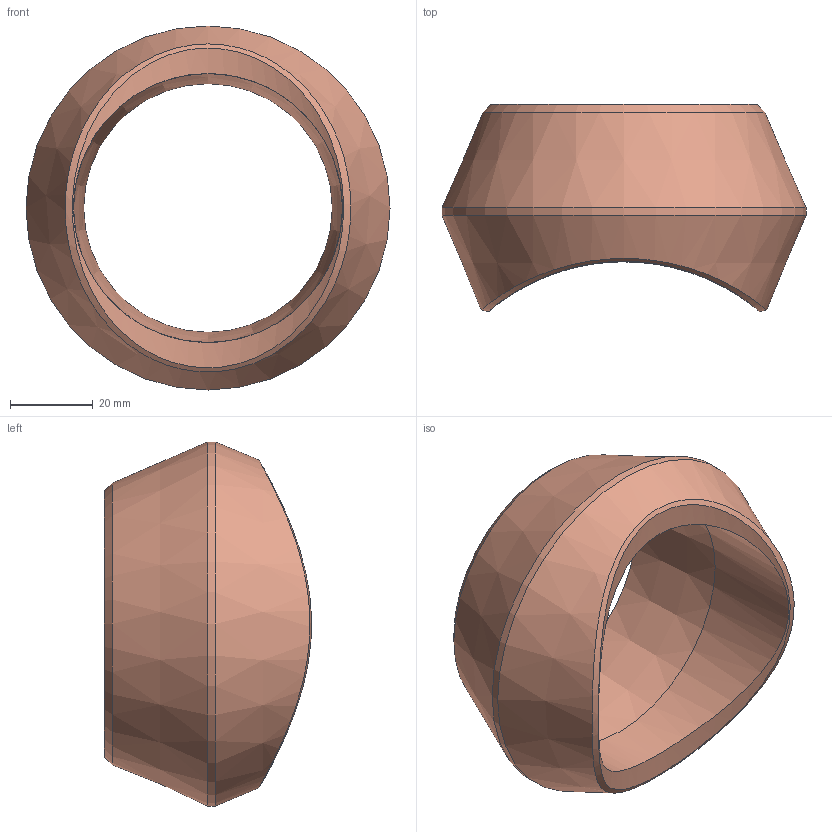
import cadquery as cq
import math

run_radius = 50.5
branch_end_to_crown = 38.0
body_radius = 44.055
band_width = 1.9
band_from_end = 24.95
shoulder_radius = 34.1
end_bevel = 1.9
saddle_cone_angle = 22.5
end_bore_radius = 30.1
saddle_bore_radius = 32.55
taper_bore_length = 24.7
rim_ball_radius = 1.1

end_y = run_radius + branch_end_to_crown
bevel_y = end_y - end_bevel
band_top_y = end_y - band_from_end
band_bottom_y = band_top_y - band_width
taper_bore_y = end_y - taper_bore_length
run_axis_y = 0.0

saddle_cone_height = band_bottom_y - run_axis_y
cone_radius_at_run_axis = body_radius - saddle_cone_height * math.tan(math.radians(saddle_cone_angle))


def revolve_about_branch_axis(profile):
    """Revolve a closed outline of (y, radius) points a full turn about the Y axis."""
    return cq.Workplane("YZ").polyline(profile).close().revolve(360, (0, 0), (1, 0))


def make_body():
    """Solid double cone with a straight band and a bevelled branch end."""
    return revolve_about_branch_axis([
        (end_y, 0),
        (end_y, shoulder_radius - end_bevel),
        (bevel_y, shoulder_radius),
        (band_top_y, body_radius),
        (band_bottom_y, body_radius),
        (run_axis_y, cone_radius_at_run_axis),
        (run_axis_y, 0),
    ])


def make_run_pipe():
    """Cylinder along Z that cuts the saddle, longer than the body is wide."""
    return cq.Workplane("XY").circle(run_radius).extrude(2 * body_radius, both=True)


def make_bore():
    """Conical bore that widens from the branch end to a straight bore at the saddle."""
    return revolve_about_branch_axis([
        (end_y, 0),
        (end_y, end_bore_radius),
        (taper_bore_y, saddle_bore_radius),
        (run_axis_y, saddle_bore_radius),
        (run_axis_y, 0),
    ])


def bevel_saddle_rim(body):
    """Bevel the edge where the saddle meets the outer cone.

    The bevel is the flat strip between the two curves along which a ball of
    rim_ball_radius, rolling inside the rim, would touch the saddle and the cone.
    """
    rounded = body.edges("<Y").fillet(rim_ball_radius)
    rounded_face = rounded.faces("%BSPLINE").val()
    saddle_face = rounded.faces("%CYLINDER").faces("<Y").val()

    cone_contact = max(rounded_face.Edges(), key=lambda edge: edge.Length())
    saddle_contact = saddle_face.Edges()[0]
    bevel_face = cq.Face.makeRuledSurface(cone_contact, saddle_contact)

    kept_faces = [face for face in rounded.faces().vals() if not face.isSame(rounded_face)]
    shell = cq.Shell.makeShell(kept_faces + [bevel_face])
    return cq.Workplane("XY").newObject([cq.Solid.makeSolid(shell)])


saddle_body = make_body().cut(make_run_pipe())
result = bevel_saddle_rim(saddle_body).cut(make_bore()).solids()